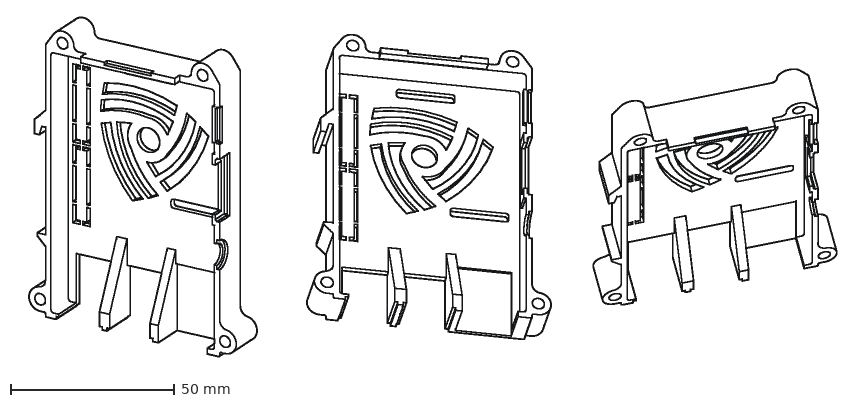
import cadquery as cq
import math

overall_height = 96.25
depth = 12.5
half_width = 31.0
wall = 1.9
top_wall = 2.2
floor = 2.0
cavity_radius = 1.0
step = 1.0

boss_diameter = 8.0
boss_radius = boss_diameter / 2
screw_diameter = 3.8
low_boss = (32.9, 5.5)
high_boss = (24.9, overall_height - boss_radius)
top_z = 90.6
low_boss_fillet = 2.9
high_boss_fillet = 1.8
shoulder_radius = 1.5
foot_radius = 0.5

floor_y = depth - floor


def on_circle(center, radius, degrees):
    angle = math.radians(degrees)
    return (center[0] + radius * math.cos(angle), center[1] + radius * math.sin(angle))


def extrude(sketch, start_y, end_y):
    """Extrude a closed XZ outline from start_y to end_y."""
    return sketch.extrude(start_y - end_y).translate((0, start_y, 0))


def block(x0, x1, y0, y1, z0, z1):
    """Box between two opposite corners."""
    return cq.Workplane("XY").box(x1 - x0, y1 - y0, z1 - z0, centered=False).translate((x0, y0, z0))


def outer_half():
    """The +X half of the outer body, with its two bosses blended into the walls."""
    boss_bottom = low_boss[1] - boss_radius
    foot_center = (half_width - foot_radius, foot_radius)
    foot_fillet_center = (half_width + foot_radius, boss_bottom - foot_radius)

    blend_x = half_width + low_boss_fillet
    blend_dx = blend_x - low_boss[0]
    blend_dz = math.sqrt((boss_radius + low_boss_fillet) ** 2 - blend_dx ** 2)
    blend_center = (blend_x, low_boss[1] + blend_dz)
    blend_angle = math.degrees(math.atan2(blend_dz, blend_dx))
    blend_mid_angle = (180 + blend_angle + 180) / 2

    corner_dx = half_width - high_boss[0]
    corner_dz = top_z - high_boss[1]
    corner_angle = math.degrees(math.atan2(corner_dz, corner_dx))
    corner_distance = math.hypot(corner_dx, corner_dz)
    shoulder_angle = corner_angle + math.degrees(math.acos(boss_radius / corner_distance))

    fillet_z = top_z + high_boss_fillet
    fillet_dz = fillet_z - high_boss[1]
    fillet_dx = math.sqrt((boss_radius + high_boss_fillet) ** 2 - fillet_dz ** 2)
    fillet_center = (high_boss[0] - fillet_dx, fillet_z)
    contact_angle = math.degrees(math.atan2(fillet_dz, -fillet_dx)) % 360
    fillet_mid_angle = (contact_angle - 180 - 90) / 2

    outline = (
        cq.Workplane("XZ")
        .moveTo(0, 0)
        .lineTo(foot_center[0], 0)
        .threePointArc(on_circle(foot_center, foot_radius, -45), (half_width, foot_radius))
        .lineTo(half_width, foot_fillet_center[1])
        .threePointArc(
            on_circle(foot_fillet_center, foot_radius, 135),
            (foot_fillet_center[0], boss_bottom),
        )
        .lineTo(low_boss[0], boss_bottom)
        .threePointArc(on_circle(low_boss, boss_radius, 0), on_circle(low_boss, boss_radius, blend_angle))
        .threePointArc(
            on_circle(blend_center, low_boss_fillet, blend_mid_angle),
            (half_width, blend_center[1]),
        )
        .lineTo(half_width, top_z)
        .lineTo(*on_circle(high_boss, boss_radius, shoulder_angle))
        .threePointArc(
            on_circle(high_boss, boss_radius, 90),
            on_circle(high_boss, boss_radius, contact_angle),
        )
        .threePointArc(
            on_circle(fillet_center, high_boss_fillet, fillet_mid_angle),
            (fillet_center[0], top_z),
        )
        .lineTo(0, top_z)
        .close()
    )
    half = extrude(outline, 0, depth)
    corner = cq.selectors.NearestToPointSelector((half_width, depth / 2, top_z))
    return half.edges("|Y").edges(corner).fillet(shoulder_radius)


half = outer_half()
body = half.union(half.mirror("YZ"))

cavity = block(wall - half_width, half_width - wall, 0, floor_y, wall, top_z - top_wall)
body = body.cut(cavity.edges("|Y").fillet(cavity_radius))

screw_radius = screw_diameter / 2
screw_points = [(side * x, z) for side in (-1, 1) for x, z in (low_boss, high_boss)]
body = body.cut(extrude(cq.Workplane("XZ").pushPoints(screw_points).circle(screw_radius), 0, depth))

wall_x = -half_width
upper_clip = [
    (wall_x, 68.7),
    (-34.9, 64.9),
    (-34.9, 60.1),
    (-33.2, 60.1),
    (-32.3, 63.0),
    (wall_x, 63.0),
]
lower_clip = [(wall_x, 27.3), (-34.0, 27.3), (-34.0, 26.4), (wall_x, 23.4)]
for clip in (upper_clip, lower_clip):
    body = body.union(extrude(cq.Workplane("XZ").polyline(clip).close(), 0, depth))

tongue_half_width = 16.7
tongue_length = 3.0
tongue_thickness = 2.0
notch_half_width = 8.3
notch_length = 1.6
notch_start = notch_length - tongue_length
tongue = block(-tongue_half_width, tongue_half_width, -tongue_length, 0, top_z - tongue_thickness, top_z)
notch = block(-notch_half_width, notch_half_width, -tongue_length, notch_start, top_z - step, top_z)
body = body.union(tongue).cut(notch)

bay_height = 18.3
left_bay = (-26.3, -11.8)
right_bay = (-8.2, 6.2)
rib_tip_height = 5.8
rib_top = 27.0
right_rib_end = 9.1


def rib(x0, x1):
    """Wedge standing on the floor, tapering from the rim plane up to rib_top."""
    profile = [(0, 0), (depth, 0), (depth, bay_height), (floor_y, rib_top), (0, rib_tip_height)]
    return cq.Workplane("YZ").polyline(profile).close().extrude(x1 - x0).translate((x0, 0, 0))


body = body.cut(block(left_bay[0], right_rib_end, 0, floor_y, 0, wall))
body = body.union(rib(left_bay[1], right_bay[0])).union(rib(right_bay[1], right_rib_end))
for x0, x1 in (left_bay, right_bay):
    body = body.cut(block(x0, x1, 0, depth, 0, bay_height))
    body = body.cut(block(x0 - step, x1 + step, 0, depth, 0, step))

recess_end = 26.6
recess_height = 22.5
recess_depth = 0.8
body = body.cut(block(right_rib_end, recess_end, 0, floor_y, 0, wall))
body = body.cut(block(right_rib_end, recess_end, floor_y, floor_y + recess_depth, 0, recess_height))

pad_x = 28.4
pocket_floor_x = 29.5
pocket_lip_x = 30.0
small_pocket = (70.6, 82.7)
small_reach = 1.6
large_pad = (43.3, 66.9)
large_pocket = (44.8, 65.6)
large_reach = 6.1
window = (46.9, 63.4)
window_reach = 3.7
rim_overrun = 1.0


def pocket(z0, z1, reach):
    """Outside pocket in the right wall, with bevelled sides around its floor."""
    bevel = pocket_lip_x - pocket_floor_x
    floor_length = reach + rim_overrun - bevel
    bevelled = (
        cq.Workplane("YZ")
        .center(floor_length / 2 - rim_overrun, (z0 + z1) / 2)
        .rect(floor_length, z1 - z0 - 2 * bevel)
        .extrude(bevel, taper=-45)
        .translate((pocket_floor_x, 0, 0))
    )
    return block(pocket_lip_x, half_width, 0, reach, z0, z1).union(bevelled)


def pad(z0, z1, reach):
    """Thickening inside the right wall, behind a pocket."""
    return block(pad_x, pocket_floor_x, 0, reach, z0, z1)


body = body.union(pad(*small_pocket, small_reach)).cut(pocket(*small_pocket, small_reach))
body = body.union(pad(*large_pad, large_reach)).cut(pocket(*large_pocket, large_reach))
body = body.cut(block(pad_x, half_width, 0, window_reach, *window))

jack_z = 33.8
jack_diameter = 7.1
jack_recess_diameter = 9.7
jack_recess_depth = 1.0
jack = cq.Workplane("YZ").center(0, jack_z).circle(jack_diameter / 2).extrude(wall)
jack_recess = cq.Workplane("YZ").center(0, jack_z).circle(jack_recess_diameter / 2).extrude(jack_recess_depth)
body = body.cut(jack.translate((half_width - wall, 0, 0)))
body = body.cut(jack_recess.translate((half_width - jack_recess_depth, 0, 0)))

slot_length = 18.2
slot_width = 3.0
slot_corner = 1.0
slot_centers = [(-0.2, 83.4), (16.6, 42.3)]
for x, z in slot_centers:
    slot = cq.Workplane("XY").box(slot_length, floor, slot_width).edges("|Y").fillet(slot_corner)
    body = body.cut(slot.translate((x, floor_y + floor / 2, z)))

plate_x = -24.4
window_z = 54.7
plate_width = 3.9
plate_length = 23.7
window_width = 6.2
window_length = 52.7
plate_offset = 13.4
bridge_offset = 6.45


def centered_panel(width, height, z):
    """Floor-thick plate centred on the break-out column."""
    return cq.Workplane("XY").box(width, floor, height).translate((plate_x, floor_y + floor / 2, z))


panels = centered_panel(step, window_length, window_z).union(centered_panel(window_width, step, window_z))
for side in (-1, 1):
    plate_z = window_z + side * plate_offset
    panels = panels.union(centered_panel(plate_width, plate_length, plate_z))
    for bridge_side in (-1, 1):
        panels = panels.union(centered_panel(window_width, step, plate_z + bridge_side * bridge_offset))
body = body.cut(centered_panel(window_width, window_length, window_z).cut(panels))

fan_x = -0.6
fan_z = 61.5
fan_hole_diameter = 8.0
hub_radius = 7.4
hub_contact_degrees = 92
hub_end_degrees = 25
vent_count = 3
hub_center = (0, 0)

outer_vent = (
    cq.Workplane("XZ")
    .moveTo(-15.7, 15.6)
    .threePointArc((-3.6, 16.65), (10.1, 13.6))
    .lineTo(9.2, 10.2)
    .threePointArc((-4.4, 13.4), (-16.4, 11.7))
    .close()
)
inner_vent = (
    cq.Workplane("XZ")
    .moveTo(-16.7, 9.7)
    .threePointArc((-4.4, 11.5), (8.8, 8.0))
    .lineTo(*on_circle(hub_center, hub_radius, hub_end_degrees))
    .threePointArc(
        on_circle(hub_center, hub_radius, (hub_end_degrees + hub_contact_degrees) / 2),
        on_circle(hub_center, hub_radius, hub_contact_degrees),
    )
    .threePointArc((-6.5, 7.9), (-17.0, 5.9))
    .close()
)
grille = extrude(cq.Workplane("XZ").circle(fan_hole_diameter / 2), floor_y, depth)
for vent in (outer_vent, inner_vent):
    blade = extrude(vent, floor_y, depth)
    for index in range(vent_count):
        grille = grille.union(blade.rotate((0, 0, 0), (0, 1, 0), index * 360 / vent_count))
body = body.cut(grille.translate((fan_x, 0, fan_z)))

result = body